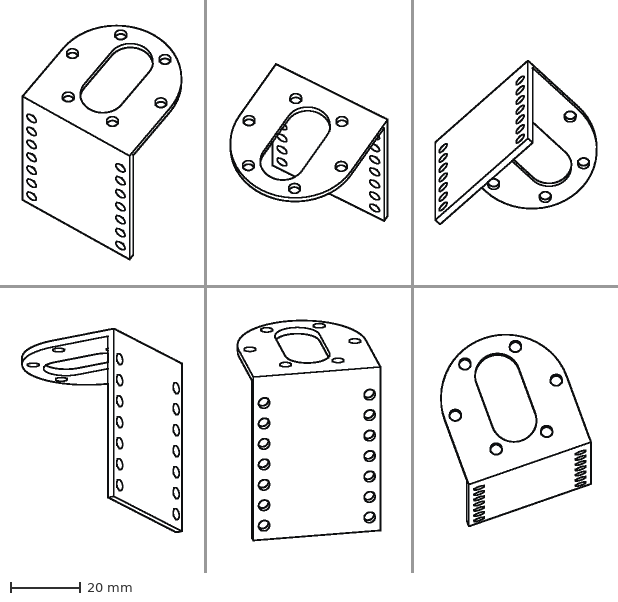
import cadquery as cq

width = 37.6
height = 51.2
thickness = 2.0
end_radius = width / 2
depth = 39.6
arc_center_y = depth - end_radius

slot_width = 13.0
slot_length = 27.15
ring_radius = 15.5
ring_hole_count = 6
ring_hole_diameter = 3.4

column_spacing = 31.2
column_hole_count = 7
column_pitch = 6.4
column_hole_diameter = 3.2
lowest_hole_z = 4.35


def upright_plate():
    plate = cq.Workplane("XY").box(width, thickness, height, centered=(True, False, False))
    points = [
        (side * column_spacing / 2, lowest_hole_z + i * column_pitch)
        for side in (-1, 1)
        for i in range(column_hole_count)
    ]
    holes = cq.Workplane("XZ").pushPoints(points).circle(column_hole_diameter / 2).extrude(-thickness)
    return plate.cut(holes)


def top_flange():
    flange = (
        cq.Workplane("XY", origin=(0, 0, height - thickness))
        .moveTo(-width / 2, 0)
        .lineTo(width / 2, 0)
        .lineTo(width / 2, arc_center_y)
        .threePointArc((0, depth), (-width / 2, arc_center_y))
        .close()
        .extrude(thickness)
    )
    openings = cq.Workplane("XY", origin=(0, arc_center_y, height - thickness))
    slot = openings.slot2D(slot_length, slot_width, 90).extrude(thickness)
    ring = (
        openings.polarArray(ring_radius, 0, 360, ring_hole_count)
        .circle(ring_hole_diameter / 2)
        .extrude(thickness)
    )
    return flange.cut(slot).cut(ring)


result = upright_plate().union(top_flange())